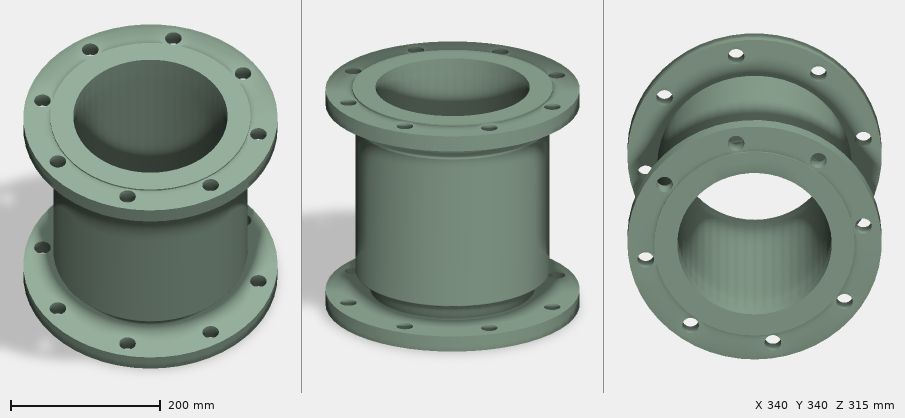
import cadquery as cq

height = 315.0
bore_diameter = 206.5

flange_diameter = 340.0
flange_thickness = 21.8
face_diameter = 268.0
face_height = 2.5

bolt_count = 8
bolt_circle_diameter = 295.0
bolt_hole_diameter = 22.0

neck_diameter = 219.0
neck_fillet = 2.5
sleeve_diameter = 259.8
sleeve_length = 215.0
sleeve_edge_fillet = 2.5

flange_outer_z = height / 2 - face_height
flange_inner_z = flange_outer_z - flange_thickness
sleeve_end_z = sleeve_length / 2


def make_cylinder(diameter, bottom_z, top_z):
    """Solid cylinder on the Z axis between two heights."""
    return cq.Workplane("XY").workplane(offset=bottom_z).circle(diameter / 2).extrude(top_z - bottom_z)


def edges_at(body, diameter, z):
    """Circular edges of the given diameter at height z."""
    radius = diameter / 2
    tolerance = 0.05
    low = (-radius - tolerance, -radius - tolerance, z - tolerance)
    high = (radius + tolerance, radius + tolerance, z + tolerance)
    inner = radius - tolerance
    edges = body.edges(cq.selectors.BoxSelector(low, high, boundingbox=True))
    return edges.filter(lambda edge: edge.radius() > inner)


def make_body():
    """Solid outer form: raised faces, flanges, necks and sleeve."""
    body = make_cylinder(neck_diameter, -flange_inner_z, flange_inner_z)
    body = body.union(make_cylinder(sleeve_diameter, -sleeve_end_z, sleeve_end_z))
    body = body.union(make_cylinder(face_diameter, flange_inner_z, height / 2))
    body = body.union(make_cylinder(face_diameter, -height / 2, -flange_inner_z))
    body = body.union(make_cylinder(flange_diameter, flange_inner_z, flange_outer_z))
    body = body.union(make_cylinder(flange_diameter, -flange_outer_z, -flange_inner_z))
    return body


def round_edges(body):
    """Round the sleeve rims and both roots of each neck."""
    for side in (-1, 1):
        body = edges_at(body, sleeve_diameter, side * sleeve_end_z).fillet(sleeve_edge_fillet)
        body = edges_at(body, neck_diameter, side * sleeve_end_z).fillet(neck_fillet)
        body = edges_at(body, neck_diameter, side * flange_inner_z).fillet(neck_fillet)
    return body


def make_bolt_holes():
    """Cutters for the bolt holes of both flanges."""
    half_pitch = 360 / bolt_count / 2
    cutters = cq.Workplane("XY").workplane(offset=-height / 2)
    cutters = cutters.polarArray(bolt_circle_diameter / 2, half_pitch, 360, bolt_count)
    return cutters.circle(bolt_hole_diameter / 2).extrude(height)


bore = make_cylinder(bore_diameter, -height / 2, height / 2)
result = round_edges(make_body()).cut(bore).cut(make_bolt_holes())